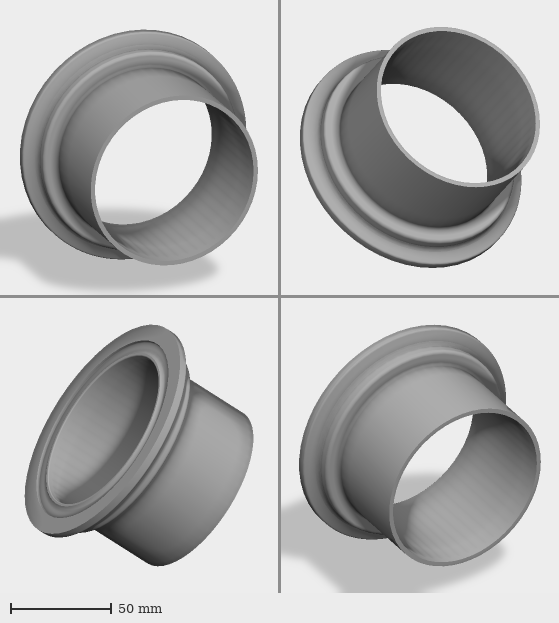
import cadquery as cq
import math

length = 61.0
flange_radius = 119 / 2
hub_radius = 104.0 / 2
tube_radius = 88.9 / 2
bore_radius = 84.3 / 2

flange_rim_width = 4.3
flange_back_angle = 17.4
flange_edge_round = 1.1
flange_root_round = 2.4
hub_end = 14.0
hub_edge_round = 1.8
tube_root_round = 1.4

groove_radius = 101.0 / 2
groove_depth = 1.5
groove_root_round = 0.5
groove_floor_inner_radius = 46.4
groove_hollow_radius = 3.9

lip_outer_radius = 43.7
lip_edge_round = 0.6


def edge_at(x, radius):
    """Selector for the circular edge of the given radius at position x."""
    tolerance = 0.01
    outer = radius + tolerance
    return cq.selectors.BoxSelector(
        (x - tolerance, -outer, -outer), (x + tolerance, outer, outer), boundingbox=True
    )


def make_body():
    """Flange with a sloping back, hub and tube, revolved about the X axis."""
    slope_run = (flange_radius - hub_radius) * math.tan(math.radians(flange_back_angle))
    slope_end = flange_rim_width + slope_run
    body = (
        cq.Workplane("XY")
        .moveTo(0, 0)
        .lineTo(0, flange_radius)
        .lineTo(flange_rim_width, flange_radius)
        .lineTo(slope_end, hub_radius)
        .lineTo(hub_end, hub_radius)
        .lineTo(hub_end, tube_radius)
        .lineTo(length, tube_radius)
        .lineTo(length, 0)
        .close()
        .revolve(360, (0, 0, 0), (1, 0, 0))
    )
    body = body.edges(edge_at(flange_rim_width, flange_radius)).fillet(flange_edge_round)
    body = body.edges(edge_at(slope_end, hub_radius)).fillet(flange_root_round)
    body = body.edges(edge_at(hub_end, tube_radius)).fillet(tube_root_round)
    return body.edges(edge_at(hub_end, hub_radius)).fillet(hub_edge_round)


def make_bore():
    """Through bore along X."""
    return cq.Workplane("YZ").circle(bore_radius).extrude(length)


def make_groove():
    """Ring-shaped groove whose inner wall curves up to the lip."""
    hollow_run = groove_floor_inner_radius - lip_outer_radius
    hollow_angle = math.asin(hollow_run / groove_hollow_radius)
    lip_x = groove_depth - groove_hollow_radius * (1 - math.cos(hollow_angle))
    hollow_middle = (
        groove_depth - groove_hollow_radius * (1 - math.cos(hollow_angle / 2)),
        groove_floor_inner_radius - groove_hollow_radius * math.sin(hollow_angle / 2),
    )
    groove = (
        cq.Workplane("XY")
        .moveTo(0, bore_radius)
        .lineTo(0, groove_radius)
        .lineTo(groove_depth, groove_radius)
        .lineTo(groove_depth, groove_floor_inner_radius)
        .threePointArc(hollow_middle, (lip_x, lip_outer_radius))
        .lineTo(lip_x, bore_radius)
        .close()
        .revolve(360, (0, 0, 0), (1, 0, 0))
    )
    groove = groove.edges(edge_at(groove_depth, groove_radius)).fillet(groove_root_round)
    return groove, lip_x


groove, lip_x = make_groove()
result = make_body().cut(make_bore()).cut(groove)
result = result.edges(edge_at(lip_x, bore_radius)).fillet(lip_edge_round)